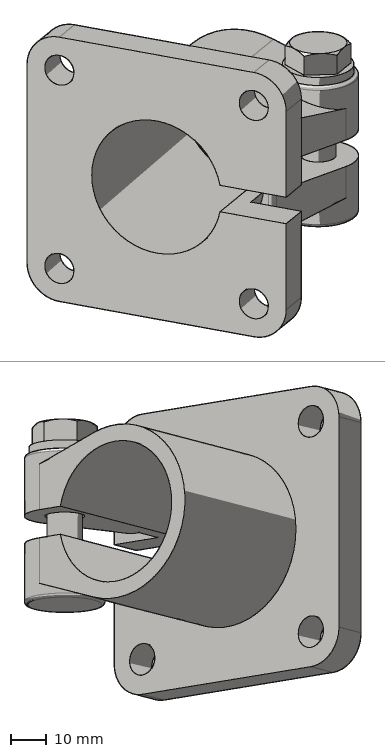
import cadquery as cq
import math

flange_side = 80
flange_thickness = 10.0
flange_corner_radius = 10.0
mount_hole_diameter = 9.0
mount_hole_spacing = 60

total_depth = 60
tube_radius = 24.7
bore_diameter = 40
slit_width = 8

lug_start_x = 7.8
lug_front_y = 18.5
lug_corner_x = 27.2
lug_corner_radius = 2.0
boss_diameter = 22.6
boss_radius = boss_diameter / 2
boss_height = 21.3
boss_edge_radius = 1.0

bolt_x = 27.0
bolt_y = total_depth - boss_radius
bolt_diameter = 10.0
clearance_diameter = 11.0
washer_diameter = 20
washer_thickness = 2.4
head_height = 6.4
head_across_flats = 16
head_chamfer_angle = 30


def cylinder_z(diameter, bottom, top):
    """Vertical cylinder on the bolt axis."""
    base = cq.Workplane("XY", origin=(bolt_x, bolt_y, bottom))
    return base.circle(diameter / 2).extrude(top - bottom)


def make_flange():
    plate = cq.Workplane("XZ").rect(flange_side, flange_side).extrude(-flange_thickness)
    plate = plate.edges("|Y").fillet(flange_corner_radius)
    holes = (
        cq.Workplane("XZ")
        .rect(mount_hole_spacing, mount_hole_spacing, forConstruction=True)
        .vertices()
        .circle(mount_hole_diameter / 2)
        .extrude(-flange_thickness)
    )
    return plate.cut(holes)


def make_lug():
    dx = lug_corner_x - bolt_x
    dy = lug_front_y - bolt_y
    tangent_angle = math.atan2(dy, dx) + math.acos(boss_radius / math.hypot(dx, dy))
    tangent_x = bolt_x + boss_radius * math.cos(tangent_angle)
    tangent_y = bolt_y + boss_radius * math.sin(tangent_angle)
    mid_angle = (tangent_angle + math.pi / 2) / 2
    mid_x = bolt_x + boss_radius * math.cos(mid_angle)
    mid_y = bolt_y + boss_radius * math.sin(mid_angle)
    outline = (
        cq.Workplane("XY", origin=(0, 0, -tube_radius))
        .moveTo(lug_start_x, lug_front_y)
        .lineTo(lug_corner_x, lug_front_y)
        .lineTo(tangent_x, tangent_y)
        .threePointArc((mid_x, mid_y), (bolt_x, total_depth))
        .lineTo(lug_start_x, total_depth)
        .close()
        .extrude(2 * tube_radius)
    )
    front_corner = cq.selectors.NearestToPointSelector((lug_corner_x, lug_front_y, 0))
    outline = outline.edges("|Z").edges(front_corner).fillet(lug_corner_radius)

    start_z = math.sqrt(tube_radius**2 - lug_start_x**2)
    end_x = bolt_x + boss_radius
    end_z = start_z - (end_x - lug_start_x) * lug_start_x / start_z
    wedge = (
        cq.Workplane("XZ")
        .polyline([
            (lug_start_x, start_z),
            (end_x, end_z),
            (end_x, -end_z),
            (lug_start_x, -start_z),
        ])
        .close()
        .extrude(-total_depth)
    )
    boss = cylinder_z(boss_diameter, -boss_height, boss_height)
    boss = boss.faces("<Z or >Z").edges().fillet(boss_edge_radius)
    return outline.intersect(wedge).union(boss)


def make_bolt():
    shank = cylinder_z(bolt_diameter, -boss_height, boss_height)
    head_bottom = boss_height + washer_thickness
    head_top = head_bottom + head_height
    washer = cylinder_z(washer_diameter, boss_height, head_bottom)

    corner_radius = head_across_flats / math.sqrt(3)
    corner_drop = (corner_radius - head_across_flats / 2) * math.tan(math.radians(head_chamfer_angle))
    head = (
        cq.Workplane("XY", origin=(bolt_x, bolt_y, head_bottom))
        .transformed(rotate=(0, 0, 90))
        .polygon(6, 2 * corner_radius)
        .extrude(head_height)
    )
    trim = cylinder_z(2 * corner_radius, head_bottom, head_top)
    trim = trim.faces(">Z").chamfer(corner_drop, corner_radius - head_across_flats / 2)
    return shank.union(washer).union(head.intersect(trim))


tube = cq.Workplane("XZ").circle(tube_radius).extrude(-total_depth)
body = make_flange().union(tube).union(make_lug())

bore = cq.Workplane("XZ").circle(bore_diameter / 2).extrude(-total_depth)
slit = cq.Workplane("XY").box(flange_side, total_depth, slit_width, centered=(False, False, True))
clearance_hole = cylinder_z(clearance_diameter, 0, boss_height)
body = body.cut(bore).cut(slit).cut(clearance_hole)

result = body.union(make_bolt())